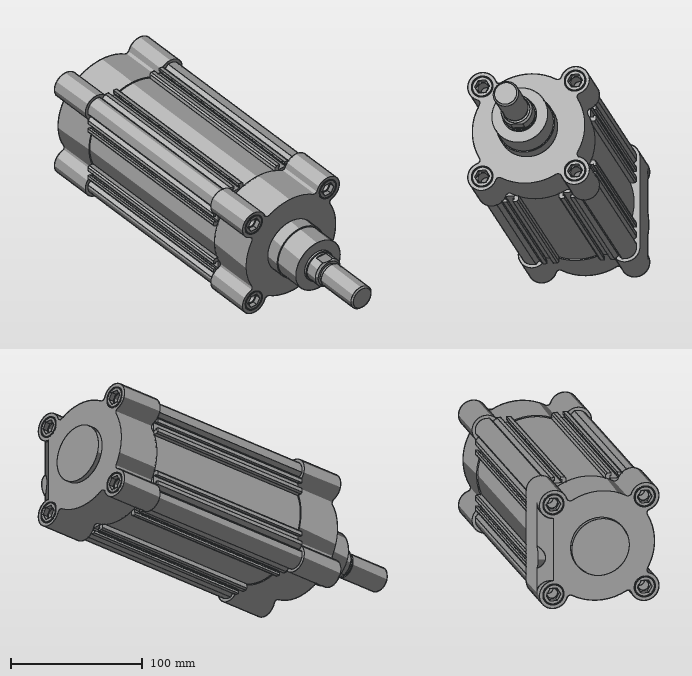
import cadquery as cq
import math

REAR_SPIGOT_LENGTH = 3.8
REAR_CAP_LENGTH = 37.5
TUBE_LENGTH = 152.0
FRONT_CAP_LENGTH = 38.5
COLLAR_END = 264.5
TOTAL_LENGTH = 318.0
REAR_CAP_START = REAR_SPIGOT_LENGTH
TUBE_START = REAR_CAP_START + REAR_CAP_LENGTH
FRONT_CAP_START = TUBE_START + TUBE_LENGTH
COLLAR_START = FRONT_CAP_START + FRONT_CAP_LENGTH

OUTER_SIZE = 94.0
BOSS_RADIUS = 11.0
BOSS_OFFSET = OUTER_SIZE / 2 - BOSS_RADIUS
CORE_RADIUS = 43.5
BOSS_FILLET = 3.0
SPIGOT_RADIUS = 22.5
COLLAR_RADIUS = 21.5
WIDE_COLLAR_LENGTH = 11.5
WIPER_RADIUS = 13.0
WIPER_LENGTH = 2.0

PORT_SLOPE_LENGTH = 7.3
PORT_RADIUS = 12.7
PORT_X = 20.0
PORT_Z = -7.3

HEX_ACROSS_FLATS = 10.0
HEX_DEPTH = 4.0
SCREW_HOLE_RADIUS = 4.0
SCREW_HOLE_DEPTH = 16.0
DRILL_TIP_ANGLE = 118
SCREW_RADIUS = 7.5
SCREW_SEAT_RADIUS = 8.3
SCREW_GAP_DEPTH = 1.3

TUBE_HALF_SIZE = 44.5
TUBE_CORE_RADIUS = 42.5
TUBE_CORNER_RADIUS = TUBE_HALF_SIZE - BOSS_OFFSET
VEE_OFFSET = 30.5
VEE_DEPTH = 3.0
SLOT_OFFSET = 22.3
SLOT_MOUTH_WIDTH = 4.8
SLOT_WIDTH = 6.7
SLOT_LIP = 2.2
SLOT_DEPTH = 4.5
LIP_SIDE = 15.5
LIP_CHAMFER = 1.3

ROD_RADIUS = 12.0
ROD_SHOULDER_END = 278.0
ROD_CHAMFER = 1.5
FLAT_START = 268.5
FLAT_DISTANCE = 11.0
NECK_RADIUS = 8.5
NECK_LENGTH = 3.0
THREAD_RADIUS = 10.0
THREAD_CHAMFER = 1.3

QUARTER_TURNS = (0, 90, 180, 270)
BOSS_CENTRES = [(y, z) for y in (-BOSS_OFFSET, BOSS_OFFSET) for z in (-BOSS_OFFSET, BOSS_OFFSET)]


def cylinder(start, length, radius):
    """Cylinder about the X axis."""
    return cq.Workplane("YZ", origin=(start, 0, 0)).circle(radius).extrude(length)


def boss_cylinders(start, length):
    """The four corner bosses of a cap."""
    cap_plane = cq.Workplane("YZ", origin=(start, 0, 0))
    return cap_plane.pushPoints(BOSS_CENTRES).circle(BOSS_RADIUS).extrude(length)


def cap_blank(start, length):
    """Round core and four corner bosses, with fillets where they meet."""
    blank = cylinder(start, length, CORE_RADIUS).union(boss_cylinders(start, length))

    centre_distance = math.hypot(BOSS_OFFSET, BOSS_OFFSET)
    along = (CORE_RADIUS**2 - BOSS_RADIUS**2 + centre_distance**2) / (2 * centre_distance)
    half_angle = math.acos(along / CORE_RADIUS)
    middle = start + length / 2
    for turn in QUARTER_TURNS:
        for side in (-1, 1):
            angle = math.radians(turn + 45) + side * half_angle
            crossing = (middle, CORE_RADIUS * math.cos(angle), CORE_RADIUS * math.sin(angle))
            blank = blank.edges(cq.selectors.NearestToPointSelector(crossing)).fillet(BOSS_FILLET)
    return blank


def screw_cutter(y, z):
    """Hexagon socket, blind drilled hole and narrow ring gap round a screw head, opening at X = 0."""
    tip = SCREW_HOLE_DEPTH + SCREW_HOLE_RADIUS / math.tan(math.radians(DRILL_TIP_ANGLE / 2))
    hole = (
        cq.Workplane("XY")
        .lineTo(0, SCREW_HOLE_RADIUS)
        .lineTo(SCREW_HOLE_DEPTH, SCREW_HOLE_RADIUS)
        .lineTo(tip, 0)
        .close()
        .revolve(360, (0, 0, 0), (1, 0, 0))
    )
    across_corners = HEX_ACROSS_FLATS / math.cos(math.radians(30))
    socket = cq.Workplane("YZ").polygon(6, across_corners).extrude(HEX_DEPTH)
    gap = cq.Workplane("YZ").circle(SCREW_SEAT_RADIUS).circle(SCREW_RADIUS).extrude(SCREW_GAP_DEPTH)
    return hole.union(socket).union(gap).translate((0, y, z))


def cut_screws(cap, end_x, facing):
    """Cut the four screw recesses; `facing` is the X direction in which the end face looks."""
    for y, z in BOSS_CENTRES:
        cutter = screw_cutter(y, z)
        if facing > 0:
            cutter = cutter.mirror("YZ")
        cap = cap.cut(cutter.translate((end_x, 0, 0)))
    return cap


def make_rear_cap():
    cap = cap_blank(REAR_CAP_START, REAR_CAP_LENGTH)

    side_y = OUTER_SIZE / 2
    port_side = cq.Workplane("XY").box(
        REAR_CAP_LENGTH, side_y, 2 * BOSS_OFFSET, centered=(False, False, True)
    ).translate((REAR_CAP_START, 0, 0))

    slope = (
        cq.Workplane("XY", origin=(0, 0, -BOSS_OFFSET))
        .moveTo(REAR_CAP_START, BOSS_OFFSET)
        .lineTo(REAR_CAP_START + PORT_SLOPE_LENGTH, side_y)
        .lineTo(REAR_CAP_START, side_y)
        .close()
        .extrude(2 * BOSS_OFFSET)
        .cut(boss_cylinders(REAR_CAP_START, REAR_CAP_LENGTH))
    )

    port_boss = cq.Workplane("XZ", origin=(PORT_X, 0, PORT_Z)).circle(PORT_RADIUS).extrude(-side_y)
    spigot = cylinder(0, REAR_CAP_START, SPIGOT_RADIUS)
    cap = cap.union(port_side).cut(slope).union(port_boss).union(spigot)
    return cut_screws(cap, REAR_CAP_START, -1)


def make_front_cap():
    cap = cap_blank(FRONT_CAP_START, FRONT_CAP_LENGTH)
    cap = cut_screws(cap, COLLAR_START, 1)
    wide_collar = cylinder(COLLAR_START, WIDE_COLLAR_LENGTH, SPIGOT_RADIUS)
    collar = cylinder(COLLAR_START, COLLAR_END - COLLAR_START, COLLAR_RADIUS)
    wiper = cylinder(COLLAR_END, WIPER_LENGTH, WIPER_RADIUS)
    return cap.union(wide_collar).union(collar).union(wiper)


def tube_groove(points):
    """Cutter along the whole tube, from (Y, Z) outline points."""
    return cq.Workplane("YZ", origin=(TUBE_START, 0, 0)).polyline(points).close().extrude(TUBE_LENGTH)


def tube_side_cutter():
    """Everything cut from the +Z side of the square tube."""
    top = TUBE_HALF_SIZE
    foot_z = math.sqrt(TUBE_CORE_RADIUS**2 - LIP_SIDE**2)
    recess = tube_groove(
        [
            (-LIP_SIDE - LIP_CHAMFER, top),
            (-LIP_SIDE, top - LIP_CHAMFER),
            (-LIP_SIDE, foot_z),
            (LIP_SIDE, foot_z),
            (LIP_SIDE, top - LIP_CHAMFER),
            (LIP_SIDE + LIP_CHAMFER, top),
        ]
    )
    cutter = recess.cut(cylinder(TUBE_START, TUBE_LENGTH, TUBE_CORE_RADIUS))
    half_mouth = SLOT_MOUTH_WIDTH / 2
    half_slot = SLOT_WIDTH / 2
    lip_z = top - SLOT_LIP
    floor_z = top - SLOT_DEPTH
    for side in (-1, 1):
        vee = side * VEE_OFFSET
        slot = side * SLOT_OFFSET
        vee_points = [(vee - VEE_DEPTH, top), (vee, top - VEE_DEPTH), (vee + VEE_DEPTH, top)]
        slot_points = [
            (slot - half_mouth, top),
            (slot - half_mouth, lip_z),
            (slot - half_slot, lip_z),
            (slot - half_slot, floor_z),
            (slot + half_slot, floor_z),
            (slot + half_slot, lip_z),
            (slot + half_mouth, lip_z),
            (slot + half_mouth, top),
        ]
        cutter = cutter.union(tube_groove(vee_points)).union(tube_groove(slot_points))
    return cutter


def make_tube():
    tube = (
        cq.Workplane("YZ", origin=(TUBE_START, 0, 0))
        .rect(2 * TUBE_HALF_SIZE, 2 * TUBE_HALF_SIZE)
        .extrude(TUBE_LENGTH)
        .edges("|X")
        .fillet(TUBE_CORNER_RADIUS)
    )
    cutter = tube_side_cutter()
    for turn in QUARTER_TURNS:
        tube = tube.cut(cutter.rotate((0, 0, 0), (1, 0, 0), turn))
    return tube


def make_rod():
    start = COLLAR_END + WIPER_LENGTH
    shoulder = cylinder(start, ROD_SHOULDER_END - start, ROD_RADIUS)
    shoulder = shoulder.faces(">X").chamfer(ROD_CHAMFER)
    flat_length = ROD_SHOULDER_END - FLAT_START
    flat_block = cq.Workplane("XY").box(
        flat_length, 2 * ROD_RADIUS, ROD_RADIUS, centered=(False, True, True)
    )
    for side in (-1, 1):
        block_z = side * (FLAT_DISTANCE + ROD_RADIUS / 2)
        shoulder = shoulder.cut(flat_block.translate((FLAT_START, 0, block_z)))
    neck = cylinder(ROD_SHOULDER_END, NECK_LENGTH, NECK_RADIUS)
    thread_start = ROD_SHOULDER_END + NECK_LENGTH
    thread = cylinder(thread_start, TOTAL_LENGTH - thread_start, THREAD_RADIUS)
    thread = thread.faces(">X").chamfer(THREAD_CHAMFER)
    return shoulder.union(neck).union(thread)


rear_cap = make_rear_cap()
tube = make_tube()
front_cap = make_front_cap()
rod = make_rod()

result = cq.Compound.makeCompound([rear_cap.val(), tube.val(), front_cap.val(), rod.val()])